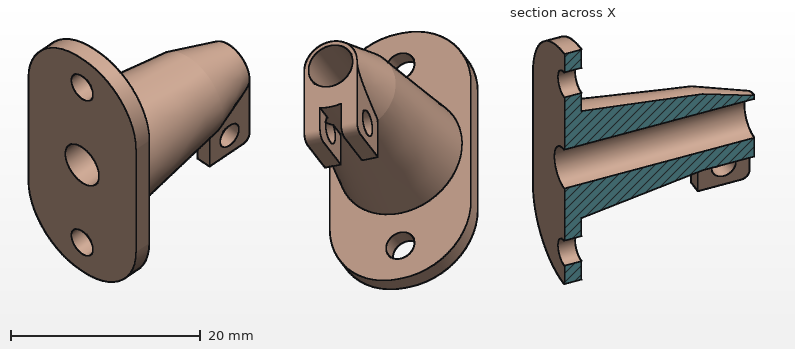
import cadquery as cq

plate_width = 16.0
plate_height = 30.0
plate_thickness = 2.0
plate_corner_radius = 7.75
screw_hole_diameter = 3.2
screw_hole_spacing = 21.9

total_length = 22.0
nose_length = 6.0
base_diameter = 14.0
shoulder_diameter = 10.0
tip_diameter = 6.0
bore_diameter = 5.0

lug_outer_width = tip_diameter
lug_thickness = 1.8
lug_depth = 8.5
lug_corner_radius = 1.0
pin_hole_diameter = 2.8
pin_hole_depth = 6.0

shoulder_y = total_length - nose_length
gap_width = lug_outer_width - 2 * lug_thickness


def y_cylinder(diameter, length, z=0.0):
    """Cylinder running along +Y from Y = 0."""
    return cq.Workplane(cq.Solid.makeCylinder(diameter / 2, length, cq.Vector(0, 0, z), cq.Vector(0, 1, 0)))


def mounting_plate():
    """Rounded plate with a screw hole near each end."""
    plate = cq.Workplane("XY").box(plate_width, plate_thickness, plate_height, centered=(True, False, True))
    plate = plate.edges("|Y").fillet(plate_corner_radius)
    for side in (-1, 1):
        plate = plate.cut(y_cylinder(screw_hole_diameter, plate_thickness, z=side * screw_hole_spacing / 2))
    return plate


def nozzle():
    """Solid of revolution about the Y axis: a long cone and a steeper nose cone."""
    profile = [
        (plate_thickness, 0),
        (plate_thickness, -base_diameter / 2),
        (shoulder_y, -shoulder_diameter / 2),
        (total_length, -tip_diameter / 2),
        (total_length, 0),
    ]
    return cq.Workplane("YZ").polyline(profile).close().revolve(360, (0, 0, 0), (1, 0, 0))


def lug(x_start):
    """Plate hanging from the nozzle axis, with a cross hole for a pin."""
    side_plane = cq.Workplane("YZ", origin=(x_start, 0, 0))
    blank = (
        side_plane.moveTo(shoulder_y, -lug_depth)
        .rect(nose_length, lug_depth, centered=False)
        .extrude(lug_thickness)
        .edges("|X and >Y and <Z")
        .fillet(lug_corner_radius)
    )
    pin_hole = (
        side_plane.moveTo(shoulder_y + nose_length / 2, -pin_hole_depth)
        .circle(pin_hole_diameter / 2)
        .extrude(lug_thickness)
    )
    return blank.cut(pin_hole)


def lug_core():
    """Core joining the lugs above the gap; its round underside reaches into the top of the pin holes."""
    core_radius = shoulder_diameter / 2
    block = (
        cq.Workplane("XY", origin=(0, shoulder_y, -core_radius))
        .box(lug_outer_width, nose_length, core_radius, centered=(True, False, False))
    )
    return block.intersect(y_cylinder(shoulder_diameter, total_length))


result = mounting_plate().union(nozzle())
for lug_x in (-lug_outer_width / 2, gap_width / 2):
    result = result.union(lug(lug_x))
result = result.union(lug_core())
result = result.cut(y_cylinder(bore_diameter, total_length))